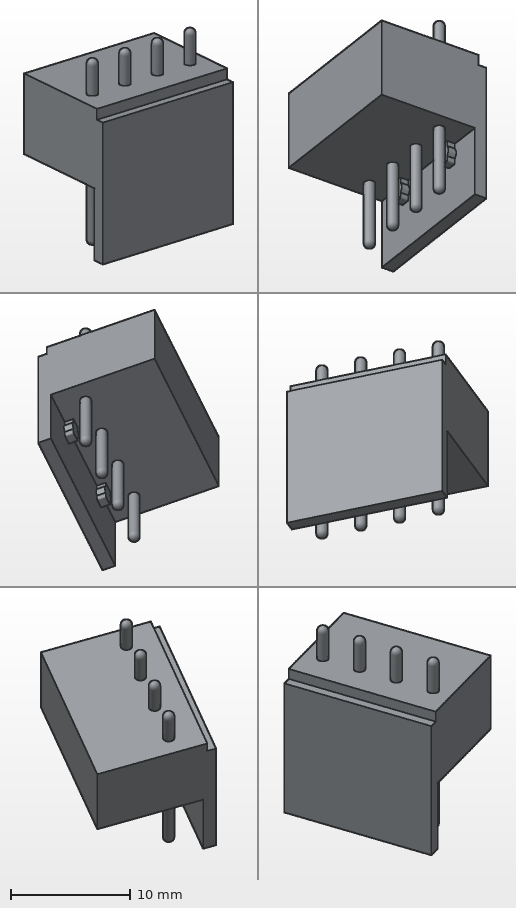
import cadquery as cq

PIN_COUNT = 4
PIN_PITCH = 3.5
DEPTH = 10.6
WIDTH = PIN_COUNT * PIN_PITCH
BODY_BOTTOM = 6.57
BODY_TOP = 13.93
WALL_THICKNESS = 1.17
STEP_WIDTH = 0.79
STEP_HEIGHT = 1.0

PIN_X = 7.0
PIN_RADIUS = 0.5
PIN_BOTTOM = 0.17
PIN_TOP = 17.15

KEY_THICKNESS = 0.79
KEY_LENGTH = 2.0
KEY_HALF_WIDTH = 0.5
KEY_CORNER_RADIUS = 0.17
BULGE_DROP = 1.0
BULGE_HALF_LENGTH = 0.5
BULGE_HALF_WIDTH = 0.69
BULGE_ARC_HALF_WIDTH = 0.63
BULGE_ARC_HALF_LENGTH = 0.22
KEY_Y_POSITIONS = (PIN_PITCH, WIDTH - PIN_PITCH)


def make_housing():
    """Block with a hanging wall and a stepped top edge."""
    wall_inside = DEPTH - WALL_THICKNESS
    step_x = DEPTH - STEP_WIDTH
    step_z = BODY_TOP - STEP_HEIGHT
    profile = [
        (0, BODY_BOTTOM),
        (wall_inside, BODY_BOTTOM),
        (wall_inside, 0),
        (DEPTH, 0),
        (DEPTH, step_z),
        (step_x, step_z),
        (step_x, BODY_TOP),
        (0, BODY_TOP),
    ]
    return cq.Workplane("XZ").polyline(profile).close().extrude(-WIDTH)


def make_pin(y):
    """Vertical pin with a hemisphere at each end."""
    straight_bottom = PIN_BOTTOM + PIN_RADIUS
    straight_top = PIN_TOP - PIN_RADIUS
    pin = (
        cq.Workplane("XY", origin=(PIN_X, y, straight_bottom))
        .circle(PIN_RADIUS)
        .extrude(straight_top - straight_bottom)
    )
    for z in (straight_bottom, straight_top):
        pin = pin.union(cq.Workplane("XY", origin=(PIN_X, y, z)).sphere(PIN_RADIUS))
    return pin


def make_key(y):
    """Key below the body, bulged on both sides and rounded at its lower corners."""
    bulge_z = -BULGE_DROP
    flank_top = bulge_z + BULGE_HALF_LENGTH
    flank_bottom = bulge_z - BULGE_HALF_LENGTH
    arc_top = bulge_z + BULGE_ARC_HALF_LENGTH
    arc_bottom = bulge_z - BULGE_ARC_HALF_LENGTH
    inside_x = DEPTH - WALL_THICKNESS - KEY_THICKNESS
    key = (
        cq.Workplane("YZ", origin=(inside_x, y, BODY_BOTTOM))
        .moveTo(-KEY_HALF_WIDTH, 0)
        .lineTo(KEY_HALF_WIDTH, 0)
        .lineTo(KEY_HALF_WIDTH, flank_top)
        .lineTo(BULGE_ARC_HALF_WIDTH, arc_top)
        .threePointArc((BULGE_HALF_WIDTH, bulge_z), (BULGE_ARC_HALF_WIDTH, arc_bottom))
        .lineTo(KEY_HALF_WIDTH, flank_bottom)
        .lineTo(KEY_HALF_WIDTH, -KEY_LENGTH)
        .lineTo(-KEY_HALF_WIDTH, -KEY_LENGTH)
        .lineTo(-KEY_HALF_WIDTH, flank_bottom)
        .lineTo(-BULGE_ARC_HALF_WIDTH, arc_bottom)
        .threePointArc((-BULGE_HALF_WIDTH, bulge_z), (-BULGE_ARC_HALF_WIDTH, arc_top))
        .lineTo(-KEY_HALF_WIDTH, flank_top)
        .close()
        .extrude(KEY_THICKNESS)
    )
    return key.faces("<Z").edges("|X").fillet(KEY_CORNER_RADIUS)


result = make_housing()
for key_y in KEY_Y_POSITIONS:
    result = result.union(make_key(key_y))
for index in range(PIN_COUNT):
    result = result.union(make_pin((index + 0.5) * PIN_PITCH))